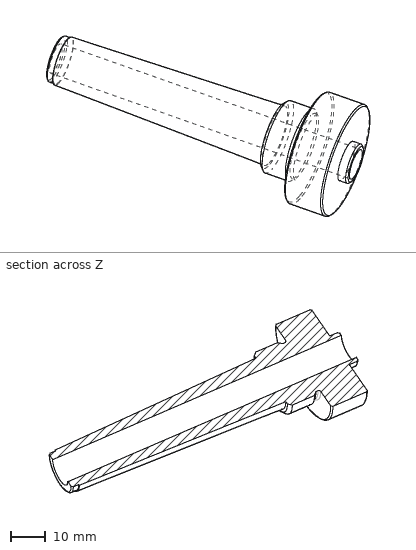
import cadquery as cq

total_length = 94.2
bore_diameter = 8.9

tip_diameter = 14.0
tip_length = 2.3
tip_chamfer = 0.5

taper_small_diameter = 14.7
taper_large_diameter = 18.1

collar_start = 68.65
collar_diameter = 22.0
collar_chamfer = 1.0

neck_diameter = 20.0
neck_start = 78.0
neck_fillet = 0.6

flange_start = 79.2
flange_end = 91.2
flange_diameter = 34.0
flange_chamfer = 0.5

spigot_diameter = 12.0
spigot_chamfer = 0.6


def cylinder(diameter, start, end):
    """Solid cylinder on the X axis between two X positions."""
    return cq.Workplane("YZ").workplane(offset=start).circle(diameter / 2).extrude(end - start)


tip = cylinder(tip_diameter, 0, tip_length).faces("<X").chamfer(tip_chamfer)

taper = (
    cq.Workplane("YZ")
    .workplane(offset=tip_length)
    .circle(taper_small_diameter / 2)
    .workplane(offset=collar_start - tip_length)
    .circle(taper_large_diameter / 2)
    .loft()
)

collar = cylinder(collar_diameter, collar_start, neck_start).edges().chamfer(collar_chamfer)
neck = cylinder(neck_diameter, neck_start, flange_start)
flange = cylinder(flange_diameter, flange_start, flange_end).edges().chamfer(flange_chamfer)
spigot = cylinder(spigot_diameter, flange_end, total_length).faces(">X").chamfer(spigot_chamfer)
bore = cylinder(bore_diameter, 0, total_length)

neck_edges = neck.union(flange).edges(cq.selectors.RadiusNthSelector(0))
neck_and_flange = neck_edges.edges(">X").fillet(neck_fillet)

result = tip.union(taper).union(collar).union(neck_and_flange).union(spigot).cut(bore)